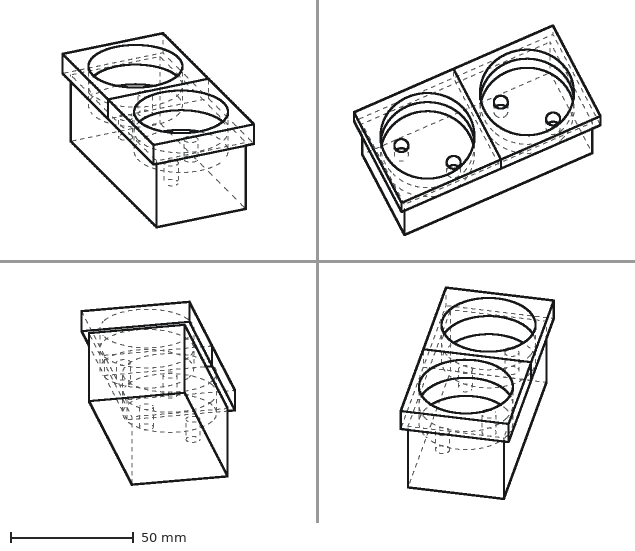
import cadquery as cq

collar_side = 45.0
total_height = 39.4
collar_height = 9.0
overhang = 2.5
cup_count = 2

cup_diameter = 38.3
cup_depth = 18.0

floor_hole_diameter = 5.8
floor_hole_offset = 8.0
floor_hole_depth = 9.0

base_length = cup_count * collar_side - 2 * overhang
base_width = collar_side - 2 * overhang
base_height = total_height - collar_height
pocket_depth = cup_depth - collar_height
floor_z = base_height - pocket_depth
cup_centers = [(collar_side * (i - (cup_count - 1) / 2), 0) for i in range(cup_count)]
floor_hole_centers = [
    (x + side * floor_hole_offset, y - side * floor_hole_offset)
    for x, y in cup_centers
    for side in (-1, 1)
]


def vertical_cylinders(centers, diameter, bottom_z, height):
    """Upright cylinders standing at the given XY centers."""
    return cq.Workplane("XY", origin=(0, 0, bottom_z)).pushPoints(centers).circle(diameter / 2).extrude(height)


def make_base():
    """Block with a round pocket below each collar and blind holes in the pocket floors."""
    block = cq.Workplane("XY").box(base_length, base_width, base_height, centered=(True, True, False))
    pockets = vertical_cylinders(cup_centers, cup_diameter, floor_z, pocket_depth)
    floor_holes = vertical_cylinders(
        floor_hole_centers, floor_hole_diameter, floor_z - floor_hole_depth, floor_hole_depth
    )
    return block.cut(pockets).cut(floor_holes)


def make_collar(center):
    """Square collar resting on the base, with a through bore that continues the pocket."""
    x, y = center
    plate = cq.Workplane("XY", origin=(x, y, base_height)).box(
        collar_side, collar_side, collar_height, centered=(True, True, False)
    )
    return plate.cut(vertical_cylinders([center], cup_diameter, base_height, collar_height))


base = make_base()
collars = [make_collar(center) for center in cup_centers]

result = cq.Compound.makeCompound([base.val(), *[collar.val() for collar in collars]])